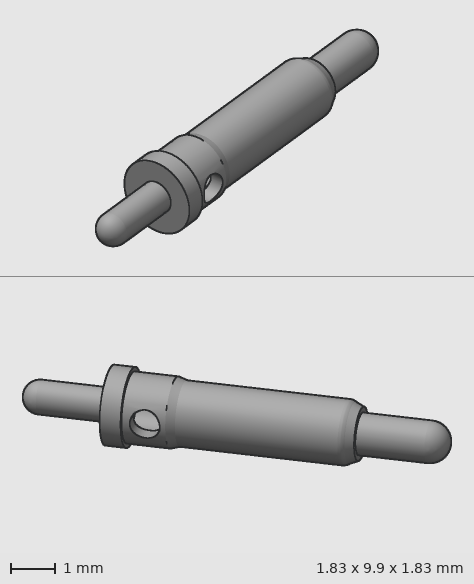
import cadquery as cq
import math

overall_length = 9.9

tail_length = 2.01
tail_radius = 0.4
flange_radius = 0.916
flange_thickness = 0.49

band_radius = 0.817
band_length = 1.01
lead_in_length = 0.21

barrel_radius = 0.75
barrel_end = 5.81
mouth_radius = 0.61
crimp_cone_radius = 0.7
crimp_cone_length = 0.2
crimp_round_length = 0.15

vent_radius = 0.35
vent_center = 1.02

plunger_radius = 0.49
plunger_insertion = 2.97

band_end = flange_thickness + band_length
lead_in_end = band_end + lead_in_length
cone_start = barrel_end - crimp_cone_length
crimp_start = cone_start - crimp_round_length
bore_floor = flange_thickness
plunger_tip = overall_length - tail_length
plunger_base = barrel_end - plunger_insertion


def revolve_about_y(profile):
    """Turn a closed half profile, drawn in XY, about the Y axis."""
    return profile.close().revolve(360, (0, 0, 0), (0, 1, 0))


def make_vent():
    """Cylinder along +X reaching from the bore axis past the barrel wall."""
    return (
        cq.Workplane("YZ")
        .center(vent_center, 0)
        .circle(vent_radius)
        .extrude(flange_radius)
    )


def make_bore():
    """Blind bore open at the crimped mouth."""
    return revolve_about_y(
        cq.Workplane("XY")
        .moveTo(0, bore_floor)
        .lineTo(plunger_radius, bore_floor)
        .lineTo(plunger_radius, barrel_end)
        .lineTo(0, barrel_end)
    )


def make_housing():
    """Round-ended tail, flange, press-fit band and crimped barrel."""
    dome_center = tail_radius - tail_length
    dome_offset = tail_radius * math.sqrt(0.5)
    body = revolve_about_y(
        cq.Workplane("XY")
        .moveTo(0, -tail_length)
        .threePointArc((dome_offset, dome_center - dome_offset), (tail_radius, dome_center))
        .lineTo(tail_radius, 0)
        .lineTo(flange_radius, 0)
        .lineTo(flange_radius, flange_thickness)
        .lineTo(band_radius, flange_thickness)
        .lineTo(band_radius, band_end)
        .lineTo(barrel_radius, lead_in_end)
        .lineTo(barrel_radius, crimp_start)
        .tangentArcPoint((crimp_cone_radius, cone_start), relative=False)
        .lineTo(mouth_radius, barrel_end)
        .lineTo(0, barrel_end)
    )
    return body.cut(make_bore()).cut(make_vent())


def make_plunger():
    """Cylindrical plunger with a hemispherical contact tip."""
    dome_center = plunger_tip - plunger_radius
    dome_offset = plunger_radius * math.sqrt(0.5)
    return revolve_about_y(
        cq.Workplane("XY")
        .moveTo(0, plunger_base)
        .lineTo(plunger_radius, plunger_base)
        .lineTo(plunger_radius, dome_center)
        .threePointArc((dome_offset, dome_center + dome_offset), (0, plunger_tip))
    )


housing = make_housing()
plunger = make_plunger()

result = cq.Compound.makeCompound([housing.val(), plunger.val()])